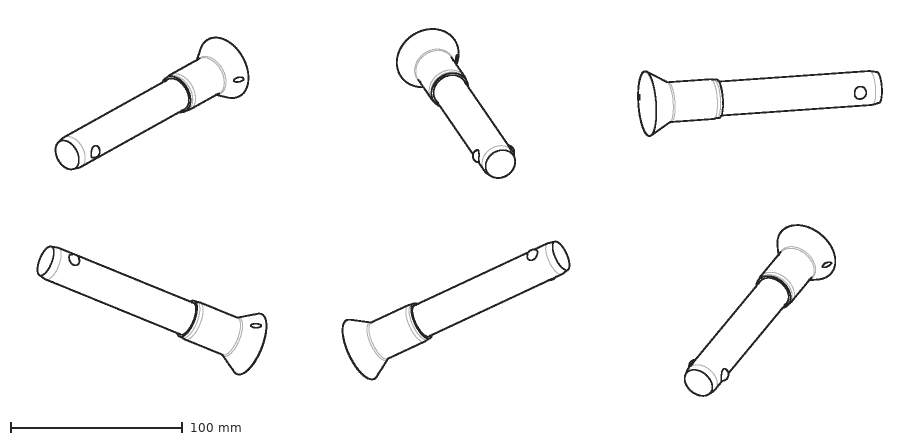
import cadquery as cq
import math

overall_length = 140.1
shank_diameter = 20.0
shank_length = 97.0

tip_diameter = 18.2
tip_length = 4.3

collar_diameter = 22.6
collar_length = 1.7
collar_taper_length = 2.0
sleeve_diameter = 23.4
head_diameter = 38.0
rim_fillet = 0.45
flare_angle = math.radians(30)
blend_radius = 2.4

ball_diameter = 7.6
ball_span = 25.0
ball_distance_from_tip = 13.4

lanyard_hole_diameter = 3.0
lanyard_hole_offset = 16.0

tip_y = -shank_length
head_y = overall_length - shank_length
rim_y = head_y - rim_fillet
sleeve_radius = sleeve_diameter / 2
flare_start_radius = sleeve_radius + blend_radius * (1 - math.cos(flare_angle))
flare_length = (head_diameter / 2 - flare_start_radius) / math.tan(flare_angle)
flare_start_y = rim_y - flare_length
sleeve_end_y = flare_start_y - blend_radius * math.sin(flare_angle)
blend_mid_radius = sleeve_radius + blend_radius * (1 - math.cos(flare_angle / 2))
blend_mid_y = sleeve_end_y + blend_radius * math.sin(flare_angle / 2)


def make_body():
    """Revolve the half section of the pin about the Y axis."""
    return (
        cq.Workplane("XY")
        .moveTo(0, tip_y)
        .lineTo(tip_diameter / 2, tip_y)
        .lineTo(shank_diameter / 2, tip_y + tip_length)
        .lineTo(shank_diameter / 2, 0)
        .lineTo(collar_diameter / 2, 0)
        .lineTo(collar_diameter / 2, collar_length)
        .lineTo(sleeve_radius, collar_length + collar_taper_length)
        .lineTo(sleeve_radius, sleeve_end_y)
        .threePointArc((blend_mid_radius, blend_mid_y), (flare_start_radius, flare_start_y))
        .lineTo(head_diameter / 2, rim_y)
        .radiusArc((head_diameter / 2 - rim_fillet, head_y), -rim_fillet)
        .lineTo(0, head_y)
        .close()
        .revolve(360, (0, 0, 0), (0, 1, 0))
    )


def make_ball(side):
    """Locking ball on the -X (side = -1) or +X (side = 1) flank of the shank."""
    center_x = side * (ball_span - ball_diameter) / 2
    center_y = tip_y + ball_distance_from_tip
    return cq.Workplane("XY").sphere(ball_diameter / 2).translate((center_x, center_y, 0))


def make_lanyard_hole():
    """Cylinder parallel to Y that passes through the whole flared head."""
    return (
        cq.Workplane("XZ", origin=(lanyard_hole_offset, head_y, 0))
        .circle(lanyard_hole_diameter / 2)
        .extrude(head_y)
    )


result = make_body()
for side in (-1, 1):
    result = result.union(make_ball(side))
result = result.cut(make_lanyard_hole())